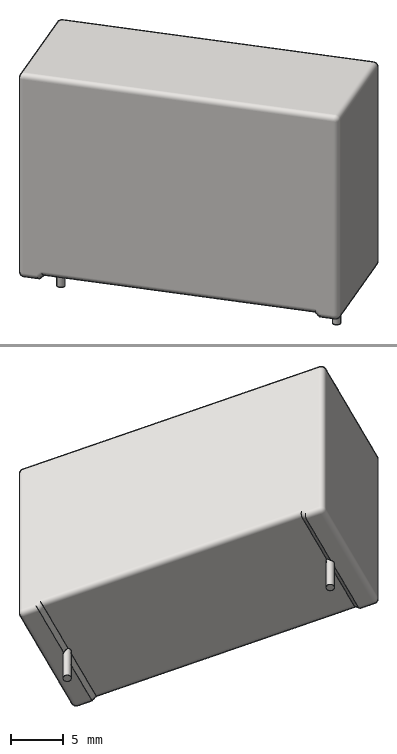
import cadquery as cq

case_length = 32.0
case_width = 13.0
case_height = 21.57
edge_radius = 0.5

recess_depth = 0.45
foot_length = 2.05

overall_height = 25.1
lead_diameter = 0.8
lead_pitch = 27.5
lead_drop = overall_height - case_height


def make_case():
    """Box with a recess across its underside and rounded outer edges."""
    half_length = case_length / 2
    foot_inner_x = half_length - foot_length
    recess_half_length = foot_inner_x - recess_depth
    blank = (
        cq.Workplane("XZ")
        .moveTo(-half_length, 0)
        .lineTo(-foot_inner_x, 0)
        .lineTo(-recess_half_length, recess_depth)
        .lineTo(recess_half_length, recess_depth)
        .lineTo(foot_inner_x, 0)
        .lineTo(half_length, 0)
        .lineTo(half_length, case_height)
        .lineTo(-half_length, case_height)
        .close()
        .extrude(case_width / 2, both=True)
    )
    return blank.faces("<X or >X or <Y or >Y").edges().fillet(edge_radius)


def make_lead(x):
    """Round lead from the recess floor level down to its tip."""
    return (
        cq.Workplane("XY")
        .workplane(offset=-lead_drop)
        .center(x, 0)
        .circle(lead_diameter / 2)
        .extrude(lead_drop + recess_depth)
    )


result = make_case()
for side in (-1, 1):
    result = result.union(make_lead(side * lead_pitch / 2))